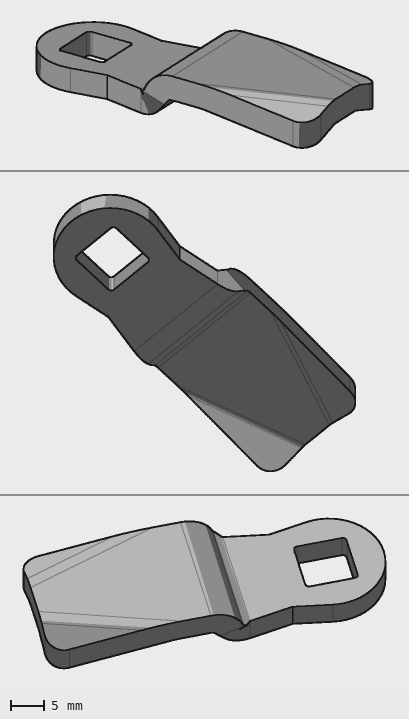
import cadquery as cq
import math

length = 54.0
width = 19.0
height = 8.1
thickness = 4.0
half_width = width / 2
upper_bottom = height - thickness

head_radius = 8.505
neck_x = 15.95
neck_angle = math.radians(10)
hole_x = 8.95
hole_side = 8.1
hole_corner_radius = 0.6

step_start_x = 22.85
step_end_x = 29.1
step_inner_radius = 1.0
step_outer_radius = step_inner_radius + thickness
lower_center = (step_start_x, thickness + step_inner_radius)
upper_center = (step_end_x, height - step_outer_radius)
top_concave_radius = 1.5
flare_pivot_lift = 0.6
flare_pivot = (step_start_x, thickness + flare_pivot_lift)
flare_inner_radius = 0.25
flare_angle = math.radians(73)
flare_sections = 4

wing_start_x = 31.3
fold_start_x = 33.5
fold_line_angle = 19.0
fold_angle = math.radians(19.5)
fold_inner_radius = 2.0
fold_outer_radius = fold_inner_radius + thickness
wing_corner_radius = 3.0

margin = 21.6


def point_on_arc(center, radius, angle):
    """Point at an angle measured from straight down, positive toward +X."""
    return (center[0] + radius * math.sin(angle), center[1] - radius * math.cos(angle))


def step_bend_angle():
    """Bend angle of the straight line tangent to both bends of the underside."""
    dx = upper_center[0] - lower_center[0]
    dz = lower_center[1] - upper_center[1]
    reach = (step_inner_radius + step_outer_radius) / math.hypot(dx, dz)
    return math.asin(reach) - math.atan2(dz, dx)


def make_side_profile():
    """Stepped sheet up to the start of the folded wing, over half the width."""
    bend = step_bend_angle()
    lower_mid = bend / 2
    upper_end = bend - math.pi
    upper_mid = lower_mid - math.pi

    run = step_end_x - step_start_x
    top_bend = 2 * math.atan2(upper_bottom, run)
    top_convex_radius = run / math.sin(top_bend) - top_concave_radius
    concave_center = (step_start_x, thickness + top_concave_radius)
    convex_center = (step_end_x, height - top_convex_radius)
    return (
        cq.Workplane("XZ")
        .moveTo(0, 0)
        .lineTo(step_start_x, 0)
        .threePointArc(
            point_on_arc(lower_center, step_outer_radius, lower_mid),
            point_on_arc(lower_center, step_outer_radius, bend),
        )
        .lineTo(*point_on_arc(upper_center, step_inner_radius, upper_end))
        .threePointArc(
            point_on_arc(upper_center, step_inner_radius, upper_mid),
            (step_end_x, upper_bottom),
        )
        .lineTo(wing_start_x, upper_bottom)
        .lineTo(wing_start_x, height)
        .lineTo(step_end_x, height)
        .threePointArc(
            point_on_arc(convex_center, top_convex_radius, top_bend / 2 - math.pi),
            point_on_arc(concave_center, top_concave_radius, top_bend),
        )
        .threePointArc(
            point_on_arc(concave_center, top_concave_radius, top_bend / 2),
            (step_start_x, thickness),
        )
        .lineTo(0, thickness)
        .close()
        .extrude(-half_width)
    )


head_end = (
    head_radius * (1 + math.sin(neck_angle)),
    head_radius * math.cos(neck_angle),
)
neck_half_width = head_end[1] - (neck_x - head_end[0]) * math.tan(neck_angle)
step_half_width = neck_half_width + (step_start_x - neck_x) * math.tan(neck_angle)


def make_head_outline():
    """Half of the head and neck outline as a prism."""
    mid_angle = (math.pi / 2 - neck_angle) / 2
    arc_mid = (
        head_radius * (1 - math.sin(mid_angle)),
        head_radius * math.cos(mid_angle),
    )
    return (
        cq.Workplane("XY")
        .moveTo(0, 0)
        .threePointArc(arc_mid, head_end)
        .lineTo(neck_x, neck_half_width)
        .lineTo(step_start_x, step_half_width)
        .lineTo(step_start_x, 0)
        .close()
        .extrude(thickness)
    )


def make_flare():
    """Half-width envelope that widens as it turns about the flare pivot."""
    outer = step_outer_radius + step_inner_radius
    wires = []
    for i in range(flare_sections + 1):
        share = i / flare_sections
        angle = flare_angle * share
        side = step_half_width + (half_width - step_half_width) * share
        x_in, z_in = point_on_arc(flare_pivot, flare_inner_radius, angle)
        x_out, z_out = point_on_arc(flare_pivot, outer, angle)
        corners = [(x_in, 0, z_in), (x_out, 0, z_out), (x_out, side, z_out), (x_in, side, z_in)]
        wires.append(cq.Wire.makePolygon([cq.Vector(*c) for c in corners], close=True))
    return cq.Workplane(obj=cq.Solid.makeLoft(wires))


def make_full_width_region():
    """Region past the end of the flare, where the sheet has its full width."""
    return (
        cq.Workplane("XZ")
        .moveTo(*flare_pivot)
        .lineTo(*point_on_arc(flare_pivot, margin, flare_angle))
        .lineTo(length, height)
        .lineTo(step_start_x, height)
        .close()
        .extrude(-half_width)
    )


def make_wing():
    """Half of the wing, with its outer corner folded down about a slanting line."""
    fold_center = (0, height - fold_outer_radius)
    across = margin * math.cos(fold_angle)
    drop = margin * math.sin(fold_angle)

    def fold_point(radius, angle):
        return (radius * math.sin(angle), fold_center[1] + radius * math.cos(angle))

    top_end = fold_point(fold_outer_radius, fold_angle)
    bottom_end = fold_point(fold_inner_radius, fold_angle)
    direction = math.radians(fold_line_angle)
    fold_plane = cq.Plane(
        origin=(fold_start_x, half_width, 0),
        xDir=(math.sin(direction), math.cos(direction), 0),
        normal=(math.cos(direction), -math.sin(direction), 0),
    )
    sheet = (
        cq.Workplane(fold_plane)
        .moveTo(-margin, upper_bottom)
        .lineTo(0, upper_bottom)
        .threePointArc(fold_point(fold_inner_radius, fold_angle / 2), bottom_end)
        .lineTo(bottom_end[0] + across, bottom_end[1] - drop)
        .lineTo(top_end[0] + across, top_end[1] - drop)
        .lineTo(*top_end)
        .threePointArc(fold_point(fold_outer_radius, fold_angle / 2), (0, height))
        .lineTo(-margin, height)
        .close()
        .extrude(length, both=True)
    )
    outline = (
        cq.Workplane("XY")
        .box(length - wing_start_x, half_width, height, centered=False)
        .translate((wing_start_x, 0, 0))
        .edges("|Z and >X and >Y")
        .fillet(wing_corner_radius)
    )
    return sheet.intersect(outline)


stepped_sheet = make_side_profile()
half = stepped_sheet.intersect(make_flare())
half = half.union(stepped_sheet.intersect(make_full_width_region()))
half = half.union(make_head_outline()).union(make_wing())
body = half.union(half.mirror("XZ")).clean()

hole = (
    cq.Workplane("XY")
    .center(hole_x, 0)
    .rect(hole_side, hole_side)
    .extrude(thickness)
    .edges("|Z")
    .fillet(hole_corner_radius)
)
result = body.cut(hole)